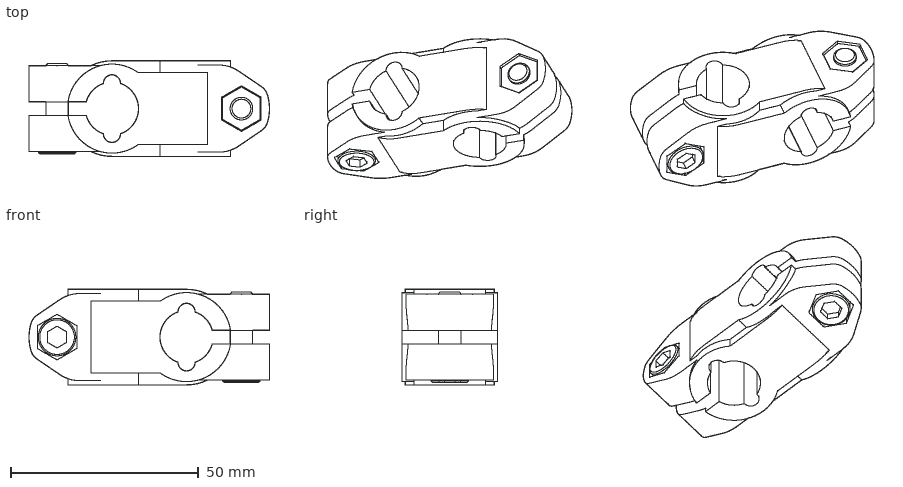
import cadquery as cq
import math


half_length = 32.0
half_height = 12.75
arm_half_width = 9.55
bore_offset = 9.9
bore_radius = 7.05
ring_radius = 11.85
keyway_radius = 2.25
keyway_offset = 6.7

jaw_half_width = 11.45
jaw_half_height = 11.6
jaw_gap = 3.6
nose_radius = 12.8
nose_corner_half_height = 5.1
nose_corner_radius = 4.3
shoulder_x = -21.45
shoulder_radius = 9.6

screw_offset = 24.5
screw_diameter = 6.0
screw_projection = 0.6
screw_tip_chamfer = 0.5
head_diameter = 10.0
head_length = 6.0
head_chamfer = 0.4
socket_flats = 5.0
socket_depth = 2.25
pocket_flats = 10.5
nut_flats = 10.0
nut_sink = 0.6

pocket_floor = jaw_half_width + screw_projection - head_length
pocket_depth = jaw_half_width - pocket_floor


def hexagon(across_flats, start_y, length):
    """Hexagonal prism on the screw axis, from start_y towards +Y, with two corners on the Z direction."""
    return (
        cq.Workplane("XZ", origin=(-screw_offset, start_y, 0))
        .transformed(rotate=(0, 0, 90))
        .polygon(6, across_flats / math.cos(math.pi / 6))
        .extrude(-length)
    )


def rod(diameter, start_y, length):
    """Cylinder on the screw axis, from start_y towards +Y."""
    return (
        cq.Workplane("XZ", origin=(-screw_offset, start_y, 0))
        .circle(diameter / 2)
        .extrude(-length)
    )


def jaws():
    """Tapered jaw block with a rounded nose, running back to the bore axis."""
    corner_x = nose_radius - half_length - math.sqrt(nose_radius**2 - nose_corner_half_height**2)
    block = (
        cq.Workplane("XZ")
        .moveTo(-bore_offset, -jaw_half_height)
        .lineTo(shoulder_x, -jaw_half_height)
        .lineTo(corner_x, -nose_corner_half_height)
        .threePointArc((-half_length, 0), (corner_x, nose_corner_half_height))
        .lineTo(shoulder_x, jaw_half_height)
        .lineTo(-bore_offset, jaw_half_height)
        .close()
        .extrude(jaw_half_width, both=True)
    )
    nose_limit = (shoulder_x + corner_x) / 2
    shoulder_limit = (shoulder_x - bore_offset) / 2
    nose_edges = cq.selectors.BoxSelector(
        (-half_length, -half_height, -half_height), (nose_limit, half_height, half_height)
    )
    shoulder_edges = cq.selectors.BoxSelector(
        (nose_limit, -half_height, -half_height), (shoulder_limit, half_height, half_height)
    )
    block = block.edges("|Y").edges(nose_edges).fillet(nose_corner_radius)
    return block.edges("|Y").edges(shoulder_edges).fillet(shoulder_radius)


def bore_cylinder(y, radius):
    """Full-height cylinder parallel to Z, at the X position of the bore."""
    return cq.Workplane("XY").center(-bore_offset, y).circle(radius).extrude(half_height, both=True)


def arm():
    """Bar from the bore to the far clamp, ending in a curve concentric with the far bore."""
    bar = cq.Workplane("XY").box(2 * bore_offset, 2 * arm_half_width, 2 * half_height)
    rounded_end = (
        cq.Workplane("XZ")
        .center(bore_offset, 0)
        .circle(half_height)
        .extrude(arm_half_width, both=True)
    )
    return bar.union(rounded_end)


def clamp_body():
    return jaws().union(bore_cylinder(0, ring_radius)).union(arm())


def clamp_cuts():
    """Bore with its two grooves, the gap between the jaws, and the two screw pockets."""
    cuts = bore_cylinder(0, bore_radius)
    for side in (-1, 1):
        cuts = cuts.union(bore_cylinder(side * keyway_offset, keyway_radius))
    gap_length = half_length - bore_offset
    gap = cq.Workplane("XY").box(gap_length, jaw_gap, 2 * half_height)
    cuts = cuts.union(gap.translate((-bore_offset - gap_length / 2, 0, 0)))
    cuts = cuts.union(hexagon(pocket_flats, -jaw_half_width, pocket_depth))
    return cuts.union(hexagon(pocket_flats, pocket_floor, pocket_depth))


def screw_and_nut():
    """Socket-head screw with its head towards -Y, and its nut."""
    tip_y = jaw_half_width + screw_projection
    head = rod(head_diameter, -tip_y, head_length).faces("<Y").edges().chamfer(head_chamfer)
    head = head.cut(hexagon(socket_flats, -tip_y, socket_depth))
    shank = rod(screw_diameter, -pocket_floor, pocket_floor + tip_y)
    shank = shank.faces(">Y").edges().chamfer(screw_tip_chamfer)
    nut = hexagon(nut_flats, pocket_floor, pocket_depth - nut_sink)
    return head.union(shank).union(nut)


def opposite(shape):
    """The matching feature of the other clamp."""
    return shape.rotate((0, 0, 0), (0, 1, 1), 180)


body = clamp_body()
body = body.union(opposite(body))
cuts = clamp_cuts()
body = body.cut(cuts).cut(opposite(cuts))
fastener = screw_and_nut()
result = body.union(fastener).union(opposite(fastener))